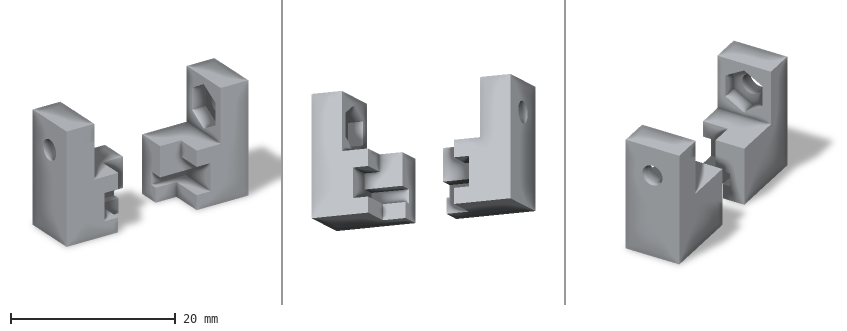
import cadquery as cq

TOTAL_LENGTH = 26.4
WIDTH = 7.5
HEIGHT = 15.5

WALL_THICKNESS = 4.0
FOOT_HEIGHT = 8.0
FOOT_LENGTH = 7.5
TONGUE_LENGTH = 3.0
TONGUE_WIDTH = 4.0
FOOT_REACH = FOOT_LENGTH + TONGUE_LENGTH

LIP_HEIGHT = 2.0
LIP_SETBACK = 1.0
GROOVE_DEPTH = 2.0
SIDE_GROOVE_HEIGHT = 1.8
END_GROOVE_HEIGHT = 3.8

SCREW_DIAMETER = 2.8
SCREW_DROP = 3.95
NUT_CORNER_DIAMETER = 6.0
NUT_DEPTH = 2.0
NUT_TURN = 30.0


def box(x_range, y_range, z_range):
    """Box spanning the given (start, end) range along each axis."""
    x, y, z = x_range[0], y_range[0], z_range[0]
    size = (x_range[1] - x, y_range[1] - y, z_range[1] - z)
    return cq.Workplane("XY").box(*size, centered=False).translate((x, y, z))


def clamp_blank():
    """Upright wall with a foot that is L-shaped in plan; outer wall face at Y = 0."""
    wall = box((0, WIDTH), (0, WALL_THICKNESS), (0, HEIGHT))
    foot = box((0, WIDTH), (0, FOOT_LENGTH), (0, FOOT_HEIGHT))
    tongue = box((0, TONGUE_WIDTH), (0, FOOT_REACH), (0, FOOT_HEIGHT))
    return wall.union(foot).union(tongue).clean()


def cut_grooves(body):
    """Grooves into the tongue side and the stepped face, and the set-back lip."""
    groove_end = FOOT_LENGTH - GROOVE_DEPTH
    side_groove = box(
        (TONGUE_WIDTH - GROOVE_DEPTH, TONGUE_WIDTH),
        (groove_end, FOOT_REACH),
        (LIP_HEIGHT, LIP_HEIGHT + SIDE_GROOVE_HEIGHT),
    )
    end_groove = box(
        (TONGUE_WIDTH, WIDTH),
        (groove_end, FOOT_LENGTH),
        (LIP_HEIGHT, LIP_HEIGHT + END_GROOVE_HEIGHT),
    )
    lip_relief = box(
        (TONGUE_WIDTH - LIP_SETBACK, TONGUE_WIDTH),
        (FOOT_LENGTH, FOOT_REACH),
        (0, LIP_HEIGHT),
    )
    return body.cut(side_groove).cut(end_groove).cut(lip_relief)


def cut_screw_seat(body):
    """Screw hole through the wall and a nut pocket in its inner face."""
    center = (WIDTH / 2, 0, HEIGHT - SCREW_DROP)
    hole = cq.Workplane("XZ", origin=center).circle(SCREW_DIAMETER / 2).extrude(-WALL_THICKNESS)
    nut_pocket = (
        cq.Workplane("XZ")
        .polygon(6, NUT_CORNER_DIAMETER)
        .extrude(-NUT_DEPTH)
        .rotate((0, 0, 0), (0, 1, 0), NUT_TURN)
        .translate((center[0], WALL_THICKNESS - NUT_DEPTH, center[2]))
    )
    return body.cut(hole).cut(nut_pocket)


def clamp():
    """One clamp, with its outer wall at the -Y end of the arrangement."""
    body = cut_screw_seat(cut_grooves(clamp_blank()))
    return body.translate((0, -TOTAL_LENGTH / 2, 0))


front_clamp = clamp()
back_clamp = clamp().mirror("XZ")

result = cq.Compound.makeCompound([front_clamp.solids().val(), back_clamp.solids().val()])